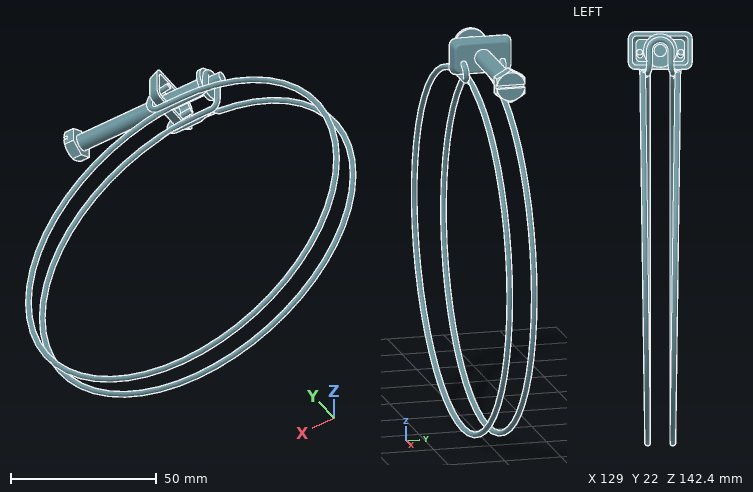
import cadquery as cq
import math


DOWN = (0, 0, -1)

WIRE_DIA = 2.0
RING_RADIUS = 63.5
RING_HALF_GAP = 4.35
OUTER_HALF_GAP = 6.05
LEG_HALF_GAP = 3.7
LEG_X = -8.8
LEG_BEND = 3.0
HOOK_X = 9.25
HOOK_BEND = 3.2
HOOK_LEAN = 8.0
HOOK_SLOPE = 10.0
HOOK_TIP_X = 4.0

PLATE_WIDTH = 22.0
PLATE_HEIGHT = 13.0
PLATE_CORNER = 2.6
PLATE_X = 6.35
PLATE_DEPTH = 4.1
PLATE_RIM = 1.5
PLATE_FLOOR = 1.1
PLATE_DRAFT = 15.0
PLATE_EDGE_FILLET = 1.0
POCKET_CORNER = 1.5
POCKET_DRAFT = 22.0

BOLT_Z = 71.35
NECK_DIA = 4.2
NECK_TIP_X = -13.2
COLLAR_DIA = 11.5
COLLAR_WIDTH = 1.5
SHAFT_DIA = 6.0
HEAD_X = 44.6
HEAD_HEIGHT = 4.0
HEAD_FLATS = 10.0
HEAD_CHAMFER_ANGLE = 30.0
SLOT_WIDTH = 1.2
SLOT_DEPTH = 1.4

COLLAR_X = LEG_X + WIRE_DIA / 2
HEAD_END_X = HEAD_X + HEAD_HEIGHT


def wire_along(edges):
    """Round wire following a chain of edges that starts at the bottom of the ring."""
    path = cq.Wire.assembleEdges(edges)
    section = cq.Plane(path.startPoint(), xDir=DOWN, normal=path.tangentAt(0))
    profile = cq.Workplane(section).circle(WIRE_DIA / 2)
    return profile.sweep(cq.Workplane(obj=path), transition="round")


def arc(*points):
    return cq.Edge.makeThreePointArc(*[cq.Vector(*point) for point in points])


def line(start, end):
    return cq.Edge.makeLine(cq.Vector(*start), cq.Vector(*end))


def leg_edges(side):
    """Flat half of the ring and the leg on one side (+1 or -1 in Y), from the ring's bottom up."""
    y_ring = side * RING_HALF_GAP
    y_leg = side * LEG_HALF_GAP
    bottom = (0, y_ring, -RING_RADIUS)
    right = (RING_RADIUS, y_ring, 0)
    top = (0, y_ring, RING_RADIUS)
    bend_start = (LEG_X + LEG_BEND, y_ring, RING_RADIUS)
    bend_end = (LEG_X, y_leg, RING_RADIUS + LEG_BEND)
    leg_top = (LEG_X, y_leg, BOLT_Z)
    bend_inset = LEG_BEND * (1 - math.sqrt(0.5))
    bend_middle = (LEG_X + bend_inset, (y_ring + y_leg) / 2, RING_RADIUS + bend_inset)
    bend = cq.Edge.makeSpline(
        [cq.Vector(*point) for point in (bend_start, bend_middle, bend_end)],
        tangents=[cq.Vector(-1, 0, 0), cq.Vector(0, 0, 1)],
    )
    return [arc(bottom, right, top), line(top, bend_start), bend, line(bend_end, leg_top)]


def looped_wire():
    """Both flat ring halves, joined by the legs and the half loop over the bolt neck."""
    half_loop = arc(
        (LEG_X, LEG_HALF_GAP, BOLT_Z),
        (LEG_X, 0, BOLT_Z + LEG_HALF_GAP),
        (LEG_X, -LEG_HALF_GAP, BOLT_Z),
    )
    return wire_along(leg_edges(1) + [half_loop] + leg_edges(-1)[::-1])


def hook_edges(side):
    """Straight lead, bend and sloping tip of one hook, all in a plane that leans outwards."""
    lean = math.radians(HOOK_LEAN)
    slope = math.radians(HOOK_SLOPE)

    def in_hook_plane(x, rise):
        y = side * (OUTER_HALF_GAP + rise * math.sin(lean))
        return (x, y, RING_RADIUS + rise * math.cos(lean))

    bend_end_x = HOOK_X + HOOK_BEND * math.sin(slope)
    bend_end_rise = HOOK_BEND * (1 + math.cos(slope))
    tip_rise = bend_end_rise + (bend_end_x - HOOK_TIP_X) * math.tan(slope)
    top = in_hook_plane(0, 0)
    bend_start = in_hook_plane(HOOK_X, 0)
    bend_middle = in_hook_plane(HOOK_X + HOOK_BEND, HOOK_BEND)
    bend_end = in_hook_plane(bend_end_x, bend_end_rise)
    tip = in_hook_plane(HOOK_TIP_X, tip_rise)
    return [line(top, bend_start), arc(bend_start, bend_middle, bend_end), line(bend_end, tip)]


def hooked_wire(side):
    """Tilted half of the ring on one side, ending in the hook that holds the nut plate."""
    y_bottom = side * RING_HALF_GAP
    y_top = side * OUTER_HALF_GAP
    tilted_radius = math.hypot(2 * RING_RADIUS, y_top - y_bottom) / 2
    bottom = (0, y_bottom, -RING_RADIUS)
    left = (-tilted_radius, (y_bottom + y_top) / 2, 0)
    top = (0, y_top, RING_RADIUS)
    return wire_along([arc(bottom, left, top)] + hook_edges(side))


def make_wire():
    wire = looped_wire()
    for side in (1, -1):
        wire = wire.union(hooked_wire(side))
    return wire


def bolt_section(x_start, x_end, diameter):
    """Round length of the bolt between two X positions."""
    plane = cq.Workplane("YZ", origin=(x_start, 0, BOLT_Z))
    return plane.circle(diameter / 2).extrude(x_end - x_start)


def bolt_head():
    """Hexagon with corners at top and bottom, a conical chamfer and a screwdriver slot along Y."""
    corner_dia = HEAD_FLATS * 2 / math.sqrt(3)
    chamfer_width = (corner_dia - HEAD_FLATS) / 2
    chamfer_height = chamfer_width * math.tan(math.radians(HEAD_CHAMFER_ANGLE))
    corners_upright = cq.Plane((HEAD_X, 0, BOLT_Z), xDir=DOWN, normal=(1, 0, 0))
    hexagon = cq.Workplane(corners_upright).polygon(6, corner_dia).extrude(HEAD_HEIGHT)
    turned = bolt_section(HEAD_X, HEAD_END_X, corner_dia)
    turned = turned.faces(">X").edges().chamfer(chamfer_height, chamfer_width)
    slot = cq.Workplane(origin=(HEAD_END_X, 0, BOLT_Z)).box(2 * SLOT_DEPTH, 2 * HEAD_FLATS, SLOT_WIDTH)
    return hexagon.intersect(turned).cut(slot)


def make_bolt():
    neck = bolt_section(NECK_TIP_X, COLLAR_X, NECK_DIA)
    collar = bolt_section(COLLAR_X, COLLAR_X + COLLAR_WIDTH, COLLAR_DIA)
    shaft = bolt_section(COLLAR_X + COLLAR_WIDTH, HEAD_X, SHAFT_DIA)
    return neck.union(collar).union(shaft).union(bolt_head())


def drafted_block(width, height, corner, draft, depth):
    """Rectangle at the plate's rim that narrows towards +X, with rounded corners."""
    plane = cq.Workplane("YZ", origin=(PLATE_X, 0, BOLT_Z))
    block = plane.rect(width, height).extrude(depth, taper=draft)
    return block.edges("not(<X or >X)").fillet(corner)


def make_plate(wire):
    """Tray open towards -X, with a hole for the bolt and two that fit the wire hooks."""
    tray = drafted_block(PLATE_WIDTH, PLATE_HEIGHT, PLATE_CORNER, PLATE_DRAFT, PLATE_DEPTH)
    tray = tray.faces(">X").edges().fillet(PLATE_EDGE_FILLET)
    pocket = drafted_block(
        PLATE_WIDTH - 2 * PLATE_RIM,
        PLATE_HEIGHT - 2 * PLATE_RIM,
        POCKET_CORNER,
        POCKET_DRAFT,
        PLATE_DEPTH - PLATE_FLOOR,
    )
    bolt_hole = bolt_section(PLATE_X, PLATE_X + PLATE_DEPTH, SHAFT_DIA)
    return tray.cut(pocket).cut(bolt_hole).cut(wire)


wire = make_wire()
bolt = make_bolt()
plate = make_plate(wire)

result = cq.Compound.makeCompound([wire.solids().val(), bolt.solids().val(), plate.solids().val()])